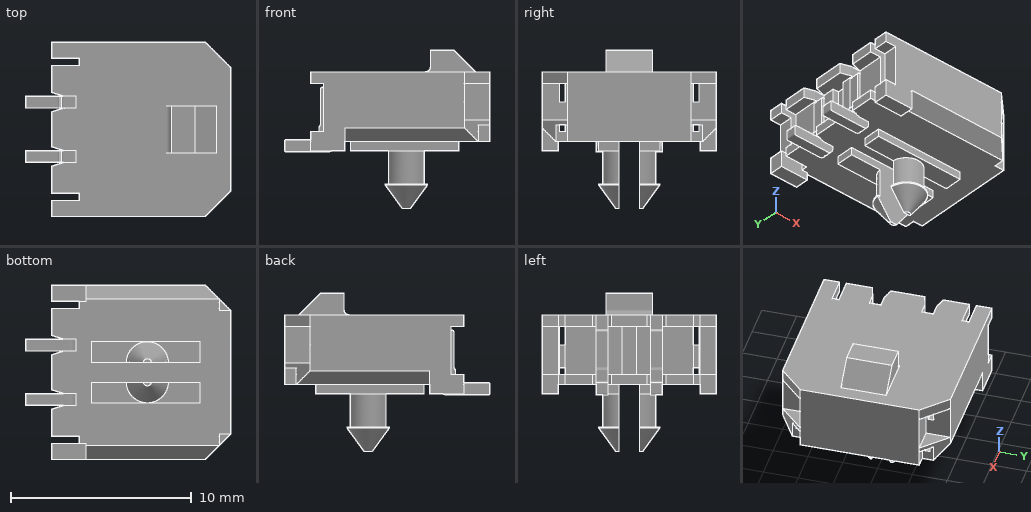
import cadquery as cq


length = 9.92
width = 9.65
height = 3.87
half_width = width / 2
front_corner = 1.41
bottom_chamfer = 0.77
floor_top = 0.58
ceiling = 3.21

recess_depth = 0.72
groove_depth = 0.39
groove_width = 0.81

slot_inner = 3.54
slot_outer = 3.93
slot_depth = 1.52
channel_outer = 3.85
crossbar_bottom = 0.93
crossbar_top = 2.2
crossbar_thickness = 0.72

pocket_bottom = 1.2
pocket_start = length - front_corner
pocket_inner = half_width - front_corner
low_slot_start = pocket_start + bottom_chamfer

foot_length = 1.91
foot_drop = 0.5
pad_start = 2.2
pad_end = 8.21
pad_outer = 1.7

peg_x = 5.3
peg_gap = 1.11
stem_radius = 1.0
stem_offset = 0.48
stem_bottom = -2.33
barb_offset = 0.52
barb_radius = 1.17
barb_rim = 0.08
tip_radius = 0.23
peg_bottom = -3.7

latch_start = 6.63
latch_flat_end = 7.93
latch_end = 9.14
latch_width = 2.6
latch_height = 1.2
latch_fillet = 0.27

contact_pitch = 3.01
contact_width = 0.66
contact_rear = 0.55
contact_front = 1.36
contact_top = 3.02
contact_round = 0.12
shoulder_rear = 0.47
shoulder_top = 0.96
shoulder_middle = 0.89
shoulder_bottom = 0.77
tail_end = -1.43
tail_top = 0.11
tail_bottom = -0.57
tail_round = 0.08
inner_bend = 0.11
outer_bend = 0.41
mouth_width = 1.07
mouth_depth = 0.66


def block(x_range, y_range, z_range):
    """Axis-aligned box spanning the given ranges."""
    (x0, x1), (y0, y1), (z0, z1) = x_range, y_range, z_range
    return cq.Workplane("XY").box(x1 - x0, y1 - y0, z1 - z0, centered=False).translate((x0, y0, z0))


def both_sides(shape):
    """The shape joined with its mirror image across Y = 0."""
    return shape.union(shape.mirror("XZ"))


def make_shell():
    shell = block((0, length), (-half_width, half_width), (0, height))
    shell = shell.edges("|Z and >X").chamfer(front_corner)
    edge_wedge = (
        cq.Workplane("YZ", origin=(foot_length, 0, 0))
        .moveTo(half_width - bottom_chamfer, 0)
        .lineTo(half_width, 0)
        .lineTo(half_width, bottom_chamfer)
        .close()
        .extrude(length - foot_length)
    )
    foot = block((0, foot_length), (slot_outer, half_width), (-foot_drop, floor_top))
    return shell.cut(both_sides(edge_wedge)).union(both_sides(foot))


def make_rear_recess():
    recess = block((0, recess_depth), (-half_width, half_width), (floor_top, ceiling))
    groove = block(
        (0, recess_depth + groove_depth), (-groove_width / 2, groove_width / 2), (floor_top, ceiling)
    )
    return recess.union(groove)


def make_side_openings():
    """Rear slots and front channels, with a crossbar left standing behind each corner pocket."""
    slot = block((0, slot_depth), (slot_inner, slot_outer), (-foot_drop, height))
    channel = block((0, length), (slot_inner, channel_outer), (floor_top, ceiling))
    crossbar = block(
        (pocket_start - crossbar_thickness, pocket_start),
        (slot_inner, channel_outer),
        (crossbar_bottom, crossbar_top),
    )
    corner_ledge = block(
        (pocket_start, length), (slot_inner, channel_outer), (crossbar_bottom, pocket_bottom)
    )
    return both_sides(slot.union(channel.cut(crossbar).cut(corner_ledge)))


def make_corner_pockets():
    pocket = block((pocket_start, length), (pocket_inner, half_width), (pocket_bottom, ceiling))
    low_slot = block((low_slot_start, length), (pocket_inner, half_width), (0, crossbar_bottom))
    return both_sides(pocket.union(low_slot))


def make_contact_notch():
    """Straight slot with a flared mouth, cut through the full height for one contact."""
    return (
        cq.Workplane("XY")
        .polyline(
            [
                (0, mouth_width / 2),
                (mouth_depth, contact_width / 2),
                (contact_front, contact_width / 2),
                (contact_front, -contact_width / 2),
                (mouth_depth, -contact_width / 2),
                (0, -mouth_width / 2),
            ]
        )
        .close()
        .extrude(height)
    )


def make_contact():
    """Upright leg with a curved shoulder, bent at the bottom into a flat solder tail."""
    bend_share = (shoulder_top - shoulder_middle) / (shoulder_top - shoulder_bottom)
    shoulder_middle_x = contact_rear - bend_share * (contact_rear - shoulder_rear)
    contact = (
        cq.Workplane("XZ")
        .moveTo(contact_front, tail_bottom)
        .lineTo(contact_front, contact_top)
        .lineTo(contact_rear, contact_top)
        .lineTo(contact_rear, shoulder_top)
        .tangentArcPoint((shoulder_middle_x, shoulder_middle), relative=False)
        .tangentArcPoint((shoulder_rear, shoulder_bottom), relative=False)
        .lineTo(shoulder_rear, tail_top)
        .lineTo(tail_end, tail_top)
        .lineTo(tail_end, tail_bottom)
        .close()
        .extrude(contact_width / 2, both=True)
    )
    contact = contact.edges("|Y and >Z").fillet(contact_round)
    contact = contact.edges("|Y and <X").fillet(tail_round)
    for bend_x, bend_z, radius in (
        (shoulder_rear, tail_top, inner_bend),
        (contact_front, tail_bottom, outer_bend),
    ):
        corner = cq.selectors.NearestToPointSelector((bend_x, 0, bend_z))
        contact = contact.edges(corner).fillet(radius)
    return contact


def make_latch():
    top = height + latch_height
    return (
        cq.Workplane("XZ")
        .moveTo(latch_start - latch_fillet, height)
        .radiusArc((latch_start, height + latch_fillet), -latch_fillet)
        .lineTo(latch_start, top)
        .lineTo(latch_flat_end, top)
        .lineTo(latch_end, height)
        .close()
        .extrude(latch_width / 2, both=True)
    )


def make_peg_half():
    """One prong of the split peg with its pad, on the +Y side."""
    stem = cq.Workplane("XY").center(peg_x, stem_offset).circle(stem_radius).extrude(stem_bottom)
    barb = (
        cq.Workplane("XZ")
        .moveTo(0, stem_bottom)
        .lineTo(barb_radius, stem_bottom)
        .lineTo(barb_radius, stem_bottom - barb_rim)
        .lineTo(tip_radius, peg_bottom)
        .lineTo(0, peg_bottom)
        .close()
        .revolve(360, (0, 0, 0), (0, 1, 0))
        .translate((peg_x, barb_offset, 0))
    )
    prong_space = block((0, length), (peg_gap / 2, half_width), (peg_bottom, 0))
    pad = block((pad_start, pad_end), (peg_gap / 2, pad_outer), (-foot_drop, 0))
    return stem.union(barb).intersect(prong_space).union(pad)


result = make_shell().cut(make_rear_recess()).cut(make_side_openings()).cut(make_corner_pockets())
for contact_y in (-contact_pitch / 2, contact_pitch / 2):
    place = (0, contact_y, 0)
    result = result.cut(make_contact_notch().translate(place)).union(make_contact().translate(place))
result = result.union(make_latch()).union(both_sides(make_peg_half()))